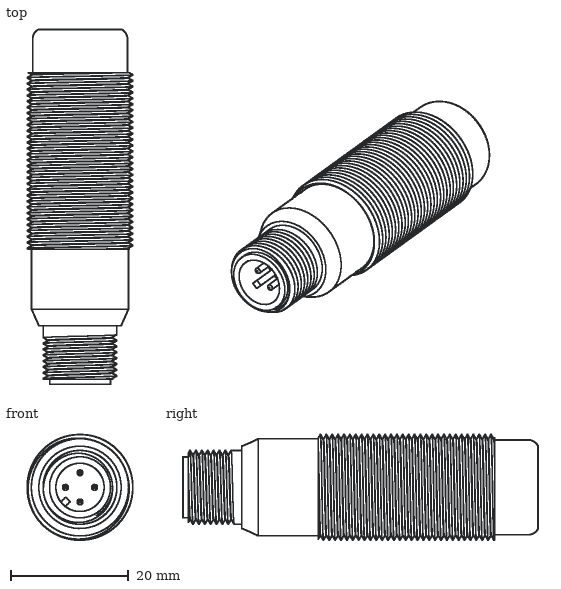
import cadquery as cq
import math

LENGTH = 60.4
TIP_END = 0.9
COLLAR_END = 9.95
CONE_END = 12.8
HOUSING_THREAD_START = 23.0
HOUSING_THREAD_END = 53.05

TIP_RADIUS = 5.2
CONNECTOR_RADIUS = 6.3
CONE_SMALL_RADIUS = 7.0
BODY_RADIUS = 8.3
HOUSING_RADIUS = 9.0
CAP_RADIUS = 8.1

RIM_LENGTH = 1.7
RIM_DROP = 1.0

HOUSING_TURNS = 30
PITCH = (HOUSING_THREAD_END - HOUSING_THREAD_START) / HOUSING_TURNS
FLAT_WIDTH = 0.035
CORE_OVERLAP = 0.05
THREAD_DEPTH = (PITCH / 2 - FLAT_WIDTH) / math.tan(math.radians(30))
TRIM_RADIUS = HOUSING_RADIUS + 1.2
HOUSING_CREST = 23.15
CONNECTOR_STEP = 7.9
CONNECTOR_STEP_ANGLE = 161.0
CONNECTOR_TURNS = 9

BORE_RADIUS = 4.1
BORE_DEPTH = 8.45
PIN_COUNT = 4
PIN_CIRCLE_RADIUS = 2.5
PIN_RADIUS = 0.5
PIN_CHAMFER = 0.3
PIN_TIP = 3.0
KEY_INNER_RADIUS = 2.9
KEY_WIDTH = 1.1
KEY_TIP = 3.0
KEY_ANGLE = 225.0
ROOT_OVERLAP = 0.3


def rod(radius, start, end):
    """Round bar about the Y axis."""
    return cq.Workplane("XZ", origin=(0, start, 0)).circle(radius).extrude(start - end)


def connector_tip():
    return rod(TIP_RADIUS, 0, TIP_END)


def housing_front():
    """Cone behind the connector and the smooth stretch of the housing."""
    return (
        cq.Workplane("XY")
        .moveTo(0, COLLAR_END)
        .lineTo(CONE_SMALL_RADIUS, COLLAR_END)
        .lineTo(BODY_RADIUS, CONE_END)
        .lineTo(BODY_RADIUS, HOUSING_THREAD_START)
        .lineTo(0, HOUSING_THREAD_START)
        .close()
        .revolve(360, (0, 0, 0), (0, 1, 0))
    )


def cap():
    """Smooth closed end with its rounded rim."""
    rim_angle = 2 * math.atan(RIM_DROP / RIM_LENGTH)
    rim_radius = RIM_LENGTH / math.sin(rim_angle)
    rim_start = LENGTH - RIM_LENGTH
    rim_middle = (
        CAP_RADIUS - rim_radius * (1 - math.cos(rim_angle / 2)),
        rim_start + rim_radius * math.sin(rim_angle / 2),
    )
    return (
        cq.Workplane("XY")
        .moveTo(0, HOUSING_THREAD_END)
        .lineTo(CAP_RADIUS, HOUSING_THREAD_END)
        .lineTo(CAP_RADIUS, rim_start)
        .threePointArc(rim_middle, (CAP_RADIUS - RIM_DROP, LENGTH))
        .lineTo(0, LENGTH)
        .close()
        .revolve(360, (0, 0, 0), (0, 1, 0))
    )


def along_y(shape):
    """Lay a shape built along +Z down so that it runs along +Y."""
    return shape.rotate((0, 0, 0), (1, 0, 0), -90)


def helical_solid(section, turns):
    """Sweep a (radius, height) section along a right-handed helix that starts on the +X side."""
    helix = cq.Wire.makeHelix(PITCH, turns * PITCH, HOUSING_RADIUS)
    swept = cq.Workplane("XZ").polyline(section).close().sweep(cq.Workplane(helix), isFrenet=True)
    return along_y(swept)


def thread_ridge(crest_radius, turns):
    """V ridge whose crest starts at Y = 0 on the +X side."""
    root_radius = crest_radius - THREAD_DEPTH
    crest_half = FLAT_WIDTH / 2
    root_half = (PITCH - FLAT_WIDTH) / 2
    section = [
        (root_radius, root_half),
        (crest_radius, crest_half),
        (crest_radius, -crest_half),
        (root_radius, -root_half),
    ]
    return helical_solid(section, turns)


def threaded_stretch(ridge, crest_radius, start, end):
    """Put the ridge on a core longer than itself, then trim both to the threaded stretch."""
    core = rod(crest_radius - THREAD_DEPTH + CORE_OVERLAP, start - 3 * PITCH, end + 3 * PITCH)
    return core.union(ridge).intersect(rod(TRIM_RADIUS, start, end))


def housing_thread():
    ridge = thread_ridge(HOUSING_RADIUS, HOUSING_TURNS + 2)
    ridge = ridge.rotate((0, 0, 0), (0, 1, 0), 180).translate((0, HOUSING_CREST - PITCH, 0))
    return threaded_stretch(ridge, HOUSING_RADIUS, HOUSING_THREAD_START, HOUSING_THREAD_END)


def connector_thread():
    """Ridge that ends in a collar; the groove beside it stops at a flat radial step."""
    ridge = thread_ridge(CONNECTOR_RADIUS, CONNECTOR_TURNS).translate((0, -CONNECTOR_TURNS * PITCH, 0))
    root_radius = CONNECTOR_RADIUS - THREAD_DEPTH
    root_half = (PITCH - FLAT_WIDTH) / 2
    collar_section = [
        (root_radius, -root_half),
        (CONNECTOR_RADIUS, -FLAT_WIDTH / 2),
        (CONNECTOR_RADIUS, COLLAR_END - CONNECTOR_STEP),
        (root_radius, COLLAR_END - CONNECTOR_STEP),
    ]
    first_half = helical_solid(collar_section, 0.5)
    second_half = first_half.rotate((0, 0, 0), (0, 1, 0), 180).translate((0, PITCH / 2, 0))
    thread = ridge.union(first_half).union(second_half)
    thread = thread.rotate((0, 0, 0), (0, 1, 0), CONNECTOR_STEP_ANGLE).translate((0, CONNECTOR_STEP, 0))
    return threaded_stretch(thread, CONNECTOR_RADIUS, TIP_END, COLLAR_END)


def connector_socket():
    """Blind round bore in the connector end, less the pins and the key standing in it."""
    floor = cq.Workplane("XZ", origin=(0, BORE_DEPTH, 0))
    bore = cq.Workplane("XZ").circle(BORE_RADIUS).extrude(-BORE_DEPTH)
    pins = (
        floor.polarArray(PIN_CIRCLE_RADIUS, 0, 360, PIN_COUNT)
        .circle(PIN_RADIUS)
        .extrude(BORE_DEPTH - PIN_TIP)
        .faces("<Y")
        .chamfer(PIN_CHAMFER)
    )
    key_height = BORE_RADIUS - KEY_INNER_RADIUS + ROOT_OVERLAP
    key = (
        floor.center(KEY_INNER_RADIUS + key_height / 2, 0)
        .rect(key_height, KEY_WIDTH)
        .extrude(BORE_DEPTH - KEY_TIP)
        .rotate((0, 0, 0), (0, 1, 0), -KEY_ANGLE)
    )
    return bore.cut(pins).cut(key)


result = (
    connector_tip()
    .union(connector_thread())
    .union(housing_front())
    .union(housing_thread())
    .union(cap())
    .cut(connector_socket())
)